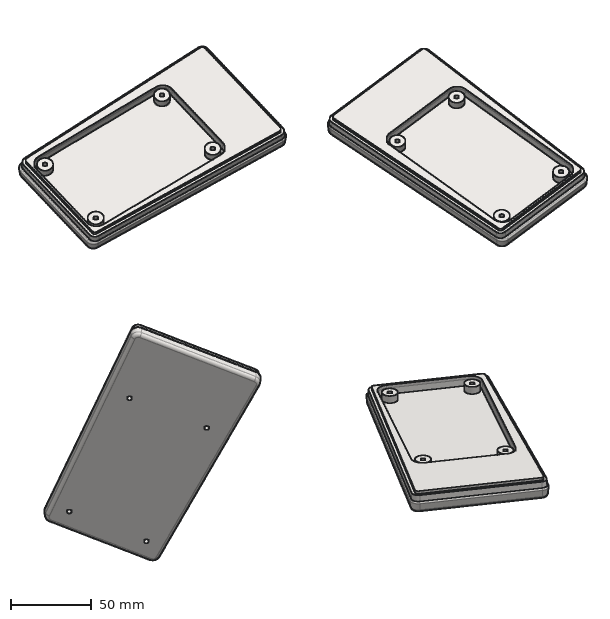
import cadquery as cq
import math

overall_length = 149.47
overall_width = 88.18
total_height = 13.8
side_angle = 2.0

rim_height = 6.7
ledge_round = 1.0
ledge_height = rim_height + ledge_round
lip_base_height = 11.9

lip_radius = 2.0
step_radius = lip_radius + 2.0
rim_radius = lip_radius + 3.2
front_ledge_width = 1.2

shell_draft = 6.0
step_draft = 4.0
pocket_draft = 5.0
bottom_fillet = 2.5

pocket_width = 66.5
pocket_length = 104.8
pocket_corner_radius = 7.0
pocket_floor_height = 7.5
pocket_center = (0.6, 58.3)

post_spacing_x = 52.4
post_spacing_y = 90.5
post_diameter = 10.0
post_height = 12.5
hole_diameter = 2.9

back_center_x = overall_width / 2 - rim_radius
back_center_y = overall_length - rim_radius
rim_front_center_y = rim_radius
step_front_center_y = rim_front_center_y + front_ledge_width


def spread(height, draft):
    """Sideways run of a wall with the given draft over the given height."""
    return height * math.tan(math.radians(draft))


def outline(radius, height, front_center_y):
    """Rounded trapezoid at the given height, traced at a radius around the corner centres."""
    front_center_x = back_center_x - spread(back_center_y - front_center_y, side_angle)
    corner_centers = [
        (-front_center_x, front_center_y),
        (front_center_x, front_center_y),
        (back_center_x, back_center_y),
        (-back_center_x, back_center_y),
    ]
    plane = cq.Workplane("XY").workplane(offset=height)
    return plane.polyline(corner_centers).close().offset2D(radius)


def make_shell():
    """Body below the rim: walls drafted inward towards a rounded underside."""
    shell = outline(rim_radius, rim_height, rim_front_center_y).extrude(-rim_height, taper=shell_draft)
    return shell.faces("<Z").edges().fillet(bottom_fillet)


def make_rounded_ledge():
    """Layer above the rim whose whole edge is a quarter round."""
    ledge = outline(rim_radius, 0, rim_front_center_y).extrude(ledge_height)
    ledge = ledge.faces(">Z").edges().fillet(ledge_round)
    return ledge.cut(outline(2 * rim_radius, 0, rim_front_center_y).extrude(rim_height))


def make_step():
    """Drafted wall rising from the ledge to the base of the lip."""
    step_height = lip_base_height - rim_height
    foot_radius = step_radius + spread(step_height, step_draft)
    return outline(foot_radius, rim_height, step_front_center_y).extrude(step_height, taper=step_draft)


def make_lip():
    """Upright lip at the top."""
    lip_height = total_height - lip_base_height
    return outline(lip_radius, lip_base_height, step_front_center_y).extrude(lip_height)


def pocket_outline():
    """Rounded rectangle of the pocket at the base of the lip."""
    plane = cq.Workplane("XY").workplane(offset=lip_base_height).center(*pocket_center)
    profile = cq.Sketch().rect(pocket_width, pocket_length).vertices().fillet(pocket_corner_radius)
    return plane.placeSketch(profile)


def make_pocket():
    """Pocket volume: upright within the lip, narrowing below it down to the floor."""
    upper = pocket_outline().extrude(total_height - lip_base_height)
    lower = pocket_outline().extrude(pocket_floor_height - lip_base_height, taper=pocket_draft)
    return upper.union(lower)


def post_cylinders(diameter, bottom, top):
    """Upright cylinders at the four screw positions, which are centred across the width."""
    plane = cq.Workplane("XY").workplane(offset=bottom).center(0, pocket_center[1])
    positions = plane.rect(post_spacing_x, post_spacing_y, forConstruction=True).vertices()
    return positions.circle(diameter / 2).extrude(top - bottom)


body = make_shell().union(make_rounded_ledge()).union(make_step()).union(make_lip())
body = body.cut(make_pocket())
body = body.union(post_cylinders(post_diameter, rim_height, post_height))
result = body.cut(post_cylinders(hole_diameter, 0, total_height))